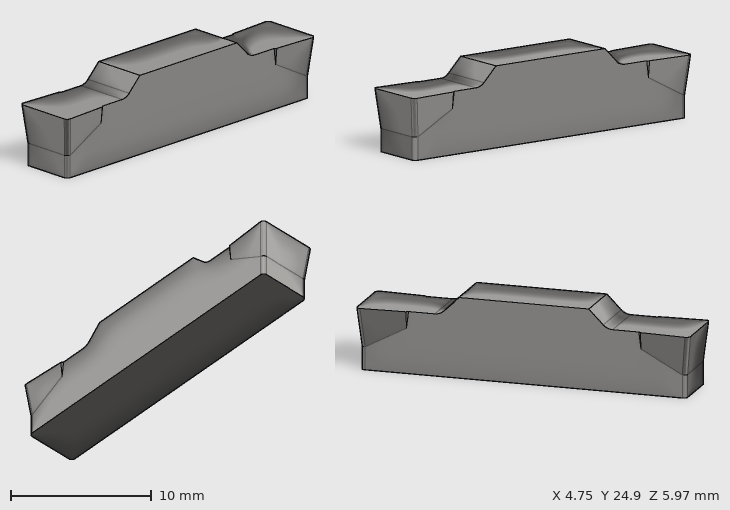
import cadquery as cq
import math


overall_length = 24.93
overall_height = 5.97
cutting_width = 4.75

body_width = 4.15
seat_height = 4.6
raised_length = 9.73
ramp_angle = 45.0
ramp_root_radius = 1.0
corner_radius = 0.3

head_base_height = 1.7
front_relief_angle = 6.0
side_relief_angle = 5.6
side_taper_angle = 3.0
flank_length = 3.7
back_wall_angle = 38.0
back_wall_run = 0.5

head_height = seat_height - head_base_height
front_setback = head_height * math.tan(math.radians(front_relief_angle))
side_setback = head_height * math.tan(math.radians(side_relief_angle))
taper_slope = math.tan(math.radians(side_taper_angle))
body_length = overall_length - 2 * front_setback
tip_y = overall_length / 2
flank_end_y = tip_y - flank_length


def make_body():
    """Bar with a raised middle, ramps with rounded roots, and rounded vertical corners."""
    end_y = body_length / 2
    crest_y = raised_length / 2
    ramp_run = (overall_height - seat_height) / math.tan(math.radians(ramp_angle))
    root_y = crest_y + ramp_run
    profile = [
        (-end_y, 0),
        (end_y, 0),
        (end_y, seat_height),
        (root_y, seat_height),
        (crest_y, overall_height),
        (-crest_y, overall_height),
        (-root_y, seat_height),
        (-end_y, seat_height),
    ]
    body = cq.Workplane("YZ").polyline(profile).close().extrude(body_width / 2, both=True)
    for side in (-1, 1):
        root_point = (0, side * root_y, seat_height)
        body = body.edges(cq.selectors.NearestToPointSelector(root_point)).fillet(ramp_root_radius)
    return body.edges("|Z").fillet(corner_radius)


def head_outline(front_y, flank_inset):
    """Plan outline of the +Y head; the flanks are moved inward by flank_inset."""
    sharp_half_width = cutting_width / 2 + corner_radius * taper_slope

    def flank_x(y):
        return sharp_half_width - flank_inset - (tip_y - y) * taper_slope

    front_x = flank_x(front_y)
    rear_x = flank_x(flank_end_y)
    inner_x = rear_x - back_wall_run * math.tan(math.radians(back_wall_angle))
    inner_y = flank_end_y - back_wall_run
    return [
        (front_x, front_y),
        (rear_x, flank_end_y),
        (inner_x, inner_y),
        (-inner_x, inner_y),
        (-rear_x, flank_end_y),
        (-front_x, front_y),
    ]


def make_head():
    """Cutting head at +Y: widest at the top of the tip, relieved on the end and the flanks."""
    head = (
        cq.Workplane("XY", origin=(0, 0, head_base_height))
        .polyline(head_outline(tip_y - front_setback, side_setback))
        .close()
        .workplane(offset=head_height)
        .polyline(head_outline(tip_y, 0))
        .close()
        .loft(ruled=True)
    )
    corner_height = head_base_height + head_height / 2
    for side in (-1, 1):
        corner_point = (side * cutting_width / 2, tip_y, corner_height)
        head = head.edges(cq.selectors.NearestToPointSelector(corner_point)).fillet(corner_radius)
    return head


head = make_head()
opposite_head = head.rotate((0, 0, 0), (0, 0, 1), 180)
result = make_body().union(head).union(opposite_head).clean()